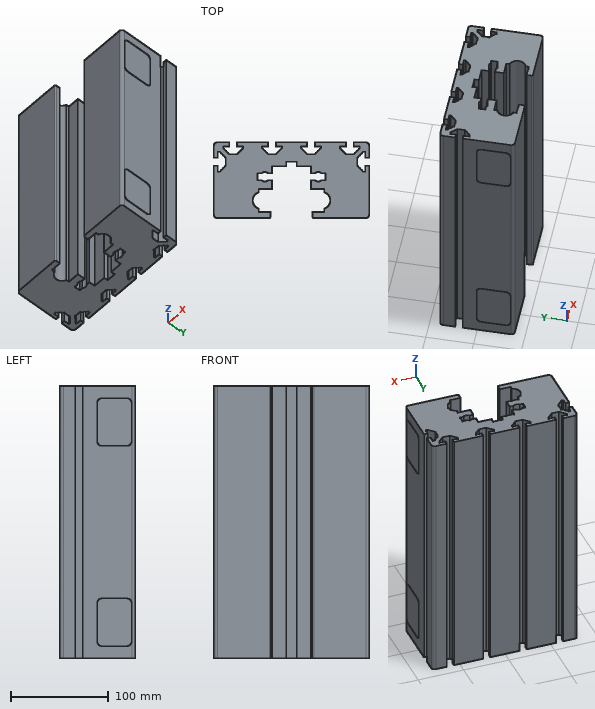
import cadquery as cq

LENGTH = 280.0
BODY_WIDTH = 160.0
BODY_DEPTH = 78.0
HALF_WIDTH = BODY_WIDTH / 2
BACK = BODY_DEPTH / 2
FRONT = -BACK
CORNER_RADIUS = 3.5

SLOT_PITCH = 40.0
BACK_SLOT_COUNT = 4
SLOT_MOUTH = 7.8
SLOT_WIDTH = 20.2
SLOT_FLOOR_WIDTH = 7.8
SLOT_DEPTH = 12.3
BACK_LIP = 4.5
SIDE_LIP = 4.2
SIDE_SLOT_SETBACK = 20.2
SIDE_SLOT_Y = BACK - SIDE_SLOT_SETBACK
CHAMFER_DEPTH = (SLOT_WIDTH - SLOT_FLOOR_WIDTH) / 2

MOUTH_WIDTH = 43.0
MOUTH_LIP = 6.5
MOUTH_EDGE_RADIUS = 1.5
POCKET_WIDTH = 67.2
POCKET_HEIGHT = 23.5
CHANNEL_WIDTH = 39.8
CHANNEL_ROOF_THICKNESS = 25.0
CHANNEL_TOP = BACK - CHANNEL_ROOF_THICKNESS
NOTCH_WIDTH = 10.5
NOTCH_DEPTH = 4.8
POCKET_BOTTOM = FRONT + MOUTH_LIP

GROOVE_X = 31.0
GROOVE_RADIUS = 8.7

KEYWAY_REACH = 34.7
KEYWAY_HEIGHT = 6.7
KEYWAY_SETBACK = 35.5
KEYWAY_Y = BACK - KEYWAY_SETBACK
BORE_X = 27.5
BORE_RADIUS = 4.8

PAD_THICKNESS = 0.17
PAD_EMBED = 2.8
PAD_WIDTH = 35.5
PAD_LENGTH = 49.0
PAD_CORNER_RADIUS = 5.0
PAD_END_GAP = 12.5
PAD_FRONT_GAP = 4.0


def through_box(width, y_low, y_high):
    """Full-length box centred on X between two Y positions."""
    depth = y_high - y_low
    box = cq.Workplane("XY").box(width, depth, LENGTH, centered=(True, False, False))
    return box.translate((0, y_low, 0))


def t_slot(lip):
    """T-slot cutter whose mouth is on Y = 0 and which runs toward -Y."""
    half_mouth = SLOT_MOUTH / 2
    half_width = SLOT_WIDTH / 2
    half_floor = SLOT_FLOOR_WIDTH / 2
    right_side = [
        (half_mouth, 0),
        (half_mouth, -lip),
        (half_width, -lip),
        (half_width, CHAMFER_DEPTH - SLOT_DEPTH),
        (half_floor, -SLOT_DEPTH),
    ]
    left_side = [(-x, y) for x, y in reversed(right_side)]
    return cq.Workplane("XY").polyline(right_side + left_side).close().extrude(LENGTH)


def cut_t_slots(body):
    """Cut the row of slots in the back face and one slot in each side face."""
    for index in range(BACK_SLOT_COUNT):
        x = (index - (BACK_SLOT_COUNT - 1) / 2) * SLOT_PITCH
        body = body.cut(t_slot(BACK_LIP).translate((x, BACK, 0)))
    for side in (-1, 1):
        cutter = t_slot(SIDE_LIP).rotate((0, 0, 0), (0, 0, 1), -90 * side)
        body = body.cut(cutter.translate((side * HALF_WIDTH, SIDE_SLOT_Y, 0)))
    return body


def channel():
    """Cutter for the stepped channel with its grooves and keyways."""
    pocket_top = POCKET_BOTTOM + POCKET_HEIGHT
    pocket_middle = POCKET_BOTTOM + POCKET_HEIGHT / 2
    half_keyway = KEYWAY_HEIGHT / 2
    cutter = through_box(MOUTH_WIDTH, FRONT, POCKET_BOTTOM)
    cutter = cutter.union(through_box(POCKET_WIDTH, POCKET_BOTTOM, pocket_top))
    cutter = cutter.union(through_box(CHANNEL_WIDTH, pocket_top, CHANNEL_TOP))
    cutter = cutter.union(through_box(NOTCH_WIDTH, CHANNEL_TOP, CHANNEL_TOP + NOTCH_DEPTH))
    cutter = cutter.union(through_box(2 * KEYWAY_REACH, KEYWAY_Y - half_keyway, KEYWAY_Y + half_keyway))
    round_cuts = (
        (GROOVE_X, pocket_middle, GROOVE_RADIUS),
        (BORE_X, KEYWAY_Y, BORE_RADIUS),
    )
    for x, y, radius in round_cuts:
        rounds = cq.Workplane("XY").pushPoints([(-x, y), (x, y)]).circle(radius).extrude(LENGTH)
        cutter = cutter.union(rounds)
    return cutter


def round_mouth_edges(body):
    """Round the two front edges of the channel mouth."""
    mouth_edges = cq.selectors.BoxSelector(
        (-MOUTH_WIDTH, FRONT - MOUTH_LIP / 2, 0),
        (MOUTH_WIDTH, FRONT + MOUTH_LIP / 2, LENGTH),
    )
    return body.edges("|Z").edges(mouth_edges).fillet(MOUTH_EDGE_RADIUS)


def add_side_pads(body):
    """Pads sunk into the side faces so that only PAD_THICKNESS stands proud."""
    thickness = PAD_THICKNESS + PAD_EMBED
    pad = cq.Workplane("XY").box(thickness, PAD_WIDTH, PAD_LENGTH)
    pad = pad.edges("|X").fillet(PAD_CORNER_RADIUS)
    x = HALF_WIDTH + PAD_THICKNESS - thickness / 2
    y = FRONT + PAD_FRONT_GAP + PAD_WIDTH / 2
    z = PAD_END_GAP + PAD_LENGTH / 2
    for pad_x in (-x, x):
        for pad_z in (z, LENGTH - z):
            body = body.union(pad.translate((pad_x, y, pad_z)))
    return body


body = through_box(BODY_WIDTH, FRONT, BACK).edges("|Z").fillet(CORNER_RADIUS)
body = cut_t_slots(body)
body = body.cut(channel())
body = round_mouth_edges(body)
result = add_side_pads(body)